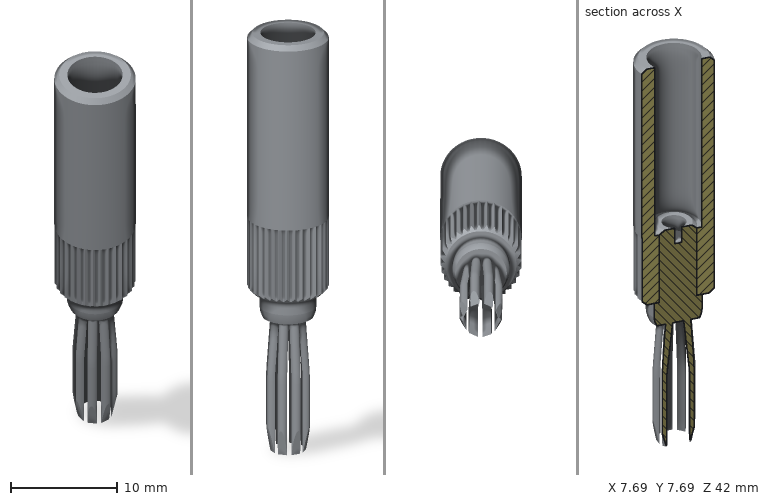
import cadquery as cq
import math

TOTAL_HEIGHT = 42.0
SLEEVE_BOTTOM_Z = 16.0
KNURL_TOP_Z = 23.48
COLLAR_BOTTOM_Z = 13.5
COLLAR_ROUND_HEIGHT = 1.0
BEND_TOP_Z = 8.3
BEND_BOTTOM_Z = 7.3

SLEEVE_RADIUS = 3.845
BORE_RADIUS = 2.6
BORE_FLOOR_Z = KNURL_TOP_Z
TOP_CHAMFER = 0.45
BOTTOM_CHAMFER = 0.5
TOOTH_COUNT = 32
GROOVE_DEPTH = 0.38
GROOVE_FLOOR_WIDTH = 0.13

COLLAR_RADIUS = 2.7
COLLAR_END_RADIUS = 2.45
SHANK_RADIUS = 2.2
SHANK_CHAMFER = 0.4
CUP_RADIUS = 1.18
CUP_DEPTH = 1.7
CUP_TIP_ANGLE = 118.0

PRONG_COUNT = 8
PRONG_WIDTH = 0.9
PRONG_THICKNESS = 0.55
PRONG_OUTER_RADIUS = 2.15
PRONG_ROOT_RADIUS = 1.72
PRONG_EMBED = 0.2
TIP_BEVEL_HEIGHT = 2.5
TIP_BEVEL_DEPTH = 0.5


def knurl_groove(center_angle):
    """V groove with a narrow flat floor, whose edges meet the neighbouring grooves in sharp ridges."""
    half_pitch = math.pi / TOOTH_COUNT
    root_radius = SLEEVE_RADIUS - GROOVE_DEPTH
    outer_radius = SLEEVE_RADIUS + GROOVE_DEPTH
    ridge_x = SLEEVE_RADIUS * math.cos(half_pitch)
    ridge_y = SLEEVE_RADIUS * math.sin(half_pitch)
    return (
        cq.Workplane("XY", origin=(0, 0, SLEEVE_BOTTOM_Z))
        .polyline(
            [
                (root_radius, -GROOVE_FLOOR_WIDTH / 2),
                (root_radius, GROOVE_FLOOR_WIDTH / 2),
                (ridge_x, ridge_y),
                (outer_radius, ridge_y),
                (outer_radius, -ridge_y),
                (ridge_x, -ridge_y),
            ]
        )
        .close()
        .extrude(KNURL_TOP_Z - SLEEVE_BOTTOM_Z)
        .rotate((0, 0, 0), (0, 0, 1), center_angle)
    )


def make_sleeve():
    """Tube with chamfered ends, a bore that narrows to the shank hole and a knurled lower part."""
    tube = (
        cq.Workplane("XY", origin=(0, 0, SLEEVE_BOTTOM_Z))
        .circle(SLEEVE_RADIUS)
        .extrude(TOTAL_HEIGHT - SLEEVE_BOTTOM_Z)
        .faces(">Z")
        .chamfer(TOP_CHAMFER)
        .faces("<Z")
        .chamfer(BOTTOM_CHAMFER)
    )
    bore = (
        cq.Workplane("XY", origin=(0, 0, BORE_FLOOR_Z))
        .circle(BORE_RADIUS)
        .extrude(TOTAL_HEIGHT - BORE_FLOOR_Z)
    )
    shank_hole = (
        cq.Workplane("XY", origin=(0, 0, SLEEVE_BOTTOM_Z))
        .circle(SHANK_RADIUS)
        .extrude(BORE_FLOOR_Z - SLEEVE_BOTTOM_Z)
    )
    tube = tube.cut(bore).cut(shank_hole)
    tooth_pitch = 360.0 / TOOTH_COUNT
    for tooth in range(TOOTH_COUNT):
        tube = tube.cut(knurl_groove(tooth * tooth_pitch))
    return tube


def contact_core():
    """Turned core: rounded collar, shank with a chamfered end and drilled solder cup."""
    shank_top_z = BORE_FLOOR_Z + SHANK_CHAMFER
    round_top_z = COLLAR_BOTTOM_Z + COLLAR_ROUND_HEIGHT
    cup_bottom_z = shank_top_z - CUP_DEPTH
    cup_tip_z = cup_bottom_z - CUP_RADIUS / math.tan(math.radians(CUP_TIP_ANGLE / 2))

    round_inset = COLLAR_RADIUS - COLLAR_END_RADIUS
    round_radius = (COLLAR_ROUND_HEIGHT**2 + round_inset**2) / (2 * round_inset)
    middle_rise = COLLAR_ROUND_HEIGHT / 2
    middle_inset = round_radius - math.sqrt(round_radius**2 - middle_rise**2)

    return (
        cq.Workplane("XZ")
        .moveTo(0, COLLAR_BOTTOM_Z)
        .lineTo(COLLAR_END_RADIUS, COLLAR_BOTTOM_Z)
        .threePointArc(
            (COLLAR_RADIUS - middle_inset, round_top_z - middle_rise),
            (COLLAR_RADIUS, round_top_z),
        )
        .lineTo(COLLAR_RADIUS, SLEEVE_BOTTOM_Z)
        .lineTo(SHANK_RADIUS, SLEEVE_BOTTOM_Z)
        .lineTo(SHANK_RADIUS, BORE_FLOOR_Z)
        .lineTo(SHANK_RADIUS - SHANK_CHAMFER, shank_top_z)
        .lineTo(CUP_RADIUS, shank_top_z)
        .lineTo(CUP_RADIUS, cup_bottom_z)
        .lineTo(0, cup_tip_z)
        .close()
        .revolve(360, (0, 0, 0), (0, 1, 0))
    )


def contact_prong():
    """One prong on the +X side: straight below, bent inward towards the collar, bevelled at the tip."""
    half_width = PRONG_WIDTH / 2
    flat_length = PRONG_THICKNESS - half_width
    bend_rise = BEND_TOP_Z - BEND_BOTTOM_Z
    root_shift = PRONG_OUTER_RADIUS - PRONG_ROOT_RADIUS

    lean = math.atan2(root_shift, COLLAR_BOTTOM_Z - (BEND_TOP_Z + BEND_BOTTOM_Z) / 2)
    bend_radius = bend_rise / math.sin(lean)
    bend_shift = bend_radius * (1 - math.cos(lean))
    middle_shift = bend_radius * (1 - math.cos(lean / 2))
    middle_rise = bend_radius * math.sin(lean / 2)
    end_z = COLLAR_BOTTOM_Z + PRONG_EMBED
    end_shift = bend_shift + (end_z - BEND_TOP_Z) * math.tan(lean)

    path = (
        cq.Workplane("XZ", origin=(PRONG_OUTER_RADIUS, 0, 0))
        .lineTo(0, BEND_BOTTOM_Z)
        .threePointArc((-middle_shift, BEND_BOTTOM_Z + middle_rise), (-bend_shift, BEND_TOP_Z))
        .lineTo(-end_shift, end_z)
    )
    bar = (
        cq.Workplane("XY", origin=(PRONG_OUTER_RADIUS, 0, 0))
        .moveTo(-PRONG_THICKNESS, -half_width)
        .lineTo(flat_length - PRONG_THICKNESS, -half_width)
        .threePointArc((0, 0), (flat_length - PRONG_THICKNESS, half_width))
        .lineTo(-PRONG_THICKNESS, half_width)
        .close()
        .sweep(path)
    )
    tip_bevel = (
        cq.Workplane("XZ", origin=(PRONG_OUTER_RADIUS, 0, 0))
        .polyline([(0, TIP_BEVEL_HEIGHT), (-TIP_BEVEL_DEPTH, 0), (0, 0)])
        .close()
        .extrude(half_width, both=True)
    )
    return bar.cut(tip_bevel)


def make_contact():
    """Turned core with the ring of prongs growing out of its collar."""
    contact = contact_core()
    prong = contact_prong()
    for index in range(PRONG_COUNT):
        angle = index * 360.0 / PRONG_COUNT
        contact = contact.union(prong.rotate((0, 0, 0), (0, 0, 1), angle))
    return contact


sleeve = make_sleeve()
contact = make_contact()

result = cq.Compound.makeCompound([sleeve.val(), contact.val()])